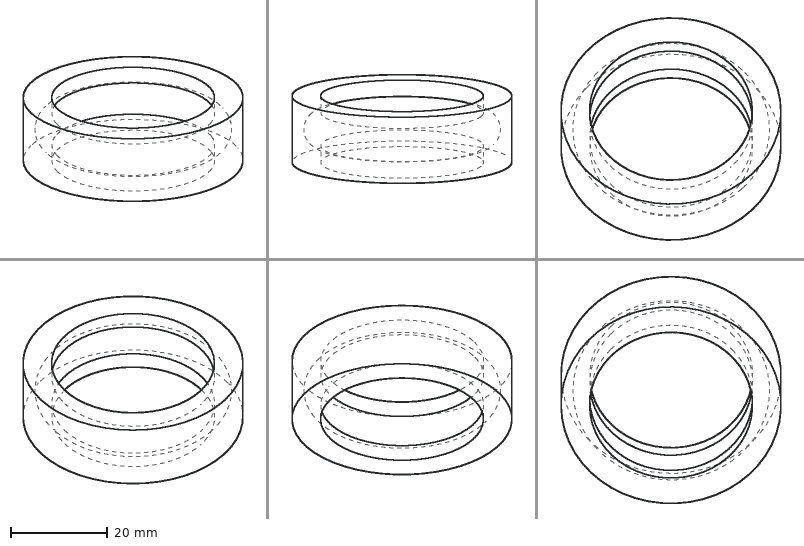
import cadquery as cq

outer_diameter = 45.65
bore_diameter = 33.77
height = 14.0

outer_radius = outer_diameter / 2
bore_radius = bore_diameter / 2
middle = height / 2
groove_radius = height / 4

section = (
    cq.Workplane("XZ")
    .moveTo(bore_radius, 0)
    .lineTo(outer_radius, 0)
    .lineTo(outer_radius, height)
    .lineTo(bore_radius, height)
    .lineTo(bore_radius, middle + groove_radius)
    .threePointArc(
        (bore_radius + groove_radius, middle),
        (bore_radius, middle - groove_radius),
    )
    .close()
)

result = section.revolve(360, (0, 0, 0), (0, 1, 0))